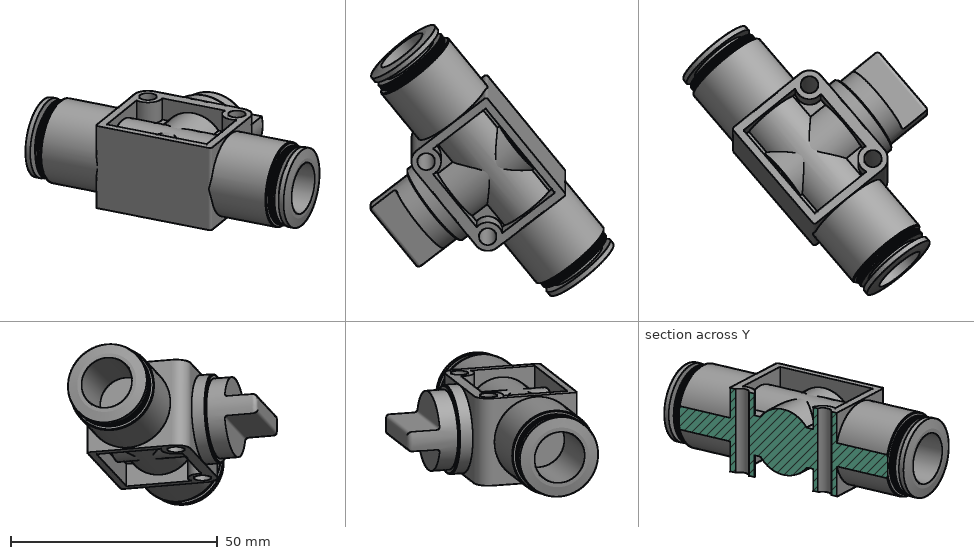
import cadquery as cq

BLOCK_WIDTH = 31.1
BLOCK_HEIGHT = 21.7
BLOCK_TOP_Y = 14.5
CORNER_RADIUS = 3.6
BOTTOM_EDGE_RADIUS = 0.6
SIDE_WALL = 2.1
BOTTOM_WALL = 1.9
TOP_WALL = 2.95
FLOOR_HALF_THICKNESS = 5.2
MOUNT_HOLE_DIAMETER = 4.2

INNER_TUBE_DIAMETER = 17.3
STEM_DIAMETER = 17.05
STEM_BOTTOM_Y = -7.5
STEM_FOOT_DIAMETER = 14.1

HALF_LENGTH = 35.2
SLEEVE_DIAMETER = 21.0
SLEEVE_END_X = 30.35
SLEEVE_CHAMFER = 0.2
COLLAR_DIAMETER = 19.8
COLLAR_THICKNESS = 1.75
COLLAR_BEVEL = 0.4
NECK_DIAMETER = 14.8
RING_DIAMETER = 19.5
RING_GROOVE_DIAMETER = 18.7
RING_THICKNESS = 0.7
RING_CHAMFER = 0.15
RING_START_X = (30.6, 31.55)
BORE_DIAMETER = 12.7
BORE_DEPTH = 16.9

FLANGE_DIAMETER = 21.7
FLANGE_END_Y = 17.95
FLANGE_CHAMFER = 0.3
KNOB_DIAMETER = 19.5
KNOB_SHOULDER_Y = 22.4
HANDLE_END_Y = 30.5
HANDLE_THICKNESS = 4.9
HANDLE_ROOT_RADIUS = 0.8
HANDLE_END_RADIUS = 1.05

BLOCK_BOTTOM_Y = -SLEEVE_DIAMETER / 2
BLOCK_CENTER_Y = (BLOCK_TOP_Y + BLOCK_BOTTOM_Y) / 2
MOUNT_X = BLOCK_WIDTH / 2 - CORNER_RADIUS
MOUNT_Y = BLOCK_TOP_Y - CORNER_RADIUS
MOUNT_POINTS = [(-MOUNT_X, MOUNT_Y), (MOUNT_X, MOUNT_Y)]


def cylinder_x(diameter, start, end):
    return cq.Workplane("YZ", origin=(start, 0, 0)).circle(diameter / 2).extrude(end - start)


def cylinder_y(diameter, start, end):
    return cq.Workplane("XZ", origin=(0, end, 0)).circle(diameter / 2).extrude(end - start)


def make_block():
    """Block with a pocket on each Z face, separated by a central floor."""
    block = (
        cq.Workplane("XY")
        .box(BLOCK_WIDTH, BLOCK_TOP_Y - BLOCK_BOTTOM_Y, BLOCK_HEIGHT)
        .translate((0, BLOCK_CENTER_Y, 0))
    )
    block = block.edges("|Z and >Y").fillet(CORNER_RADIUS)
    block = block.edges("|Z and <Y").fillet(BOTTOM_EDGE_RADIUS)

    pocket_bottom_y = BLOCK_BOTTOM_Y + BOTTOM_WALL
    pocket_top_y = BLOCK_TOP_Y - TOP_WALL
    pocket = (
        cq.Workplane("XY")
        .box(BLOCK_WIDTH - 2 * SIDE_WALL, pocket_top_y - pocket_bottom_y, BLOCK_HEIGHT)
        .translate((0, (pocket_top_y + pocket_bottom_y) / 2, 0))
    )
    floor = cq.Workplane("XY").box(BLOCK_WIDTH, 2 * BLOCK_HEIGHT, 2 * FLOOR_HALF_THICKNESS)
    bosses = (
        cq.Workplane("XY", origin=(0, 0, -BLOCK_HEIGHT / 2))
        .pushPoints(MOUNT_POINTS)
        .circle(CORNER_RADIUS)
        .extrude(BLOCK_HEIGHT)
    )
    return block.cut(pocket.cut(floor).cut(bosses))


def make_chamber():
    """Crossing tube and stem that bulge out of both faces of the floor."""
    tube = cylinder_x(INNER_TUBE_DIAMETER, -BLOCK_WIDTH / 2, BLOCK_WIDTH / 2)
    stem = cylinder_y(STEM_DIAMETER, STEM_BOTTOM_Y, BLOCK_TOP_Y - TOP_WALL / 2)
    foot = cylinder_y(STEM_FOOT_DIAMETER, BLOCK_BOTTOM_Y + BOTTOM_WALL / 2, STEM_BOTTOM_Y)
    return tube.union(stem).union(foot)


def make_connector():
    """Connector on the +X side: sleeve, two rings, neck and release collar."""
    sleeve_start_x = BLOCK_WIDTH / 2 - SIDE_WALL
    sleeve = cylinder_x(SLEEVE_DIAMETER, sleeve_start_x, SLEEVE_END_X)
    sleeve = sleeve.faces(">X").edges().chamfer(SLEEVE_CHAMFER)
    ring_end_x = max(RING_START_X) + RING_THICKNESS
    connector = sleeve.union(cylinder_x(RING_GROOVE_DIAMETER, sleeve_start_x, ring_end_x))
    for start_x in RING_START_X:
        ring = cylinder_x(RING_DIAMETER, start_x, start_x + RING_THICKNESS)
        connector = connector.union(ring.edges().chamfer(RING_CHAMFER))

    collar_start_x = HALF_LENGTH - COLLAR_THICKNESS
    bevel_start_x = HALF_LENGTH - COLLAR_BEVEL
    collar = (
        cq.Workplane("XY")
        .moveTo(collar_start_x, 0)
        .lineTo(collar_start_x, COLLAR_DIAMETER / 2)
        .lineTo(bevel_start_x, COLLAR_DIAMETER / 2)
        .lineTo(HALF_LENGTH, NECK_DIAMETER / 2)
        .lineTo(HALF_LENGTH, 0)
        .close()
        .revolve(360, (0, 0, 0), (1, 0, 0))
    )
    neck = cylinder_x(NECK_DIAMETER, sleeve_start_x, HALF_LENGTH - COLLAR_BEVEL)
    return connector.union(neck).union(collar)


def make_knob():
    """Round flange and knob whose outer part is reduced to a flat handle."""
    flange = cylinder_y(FLANGE_DIAMETER, BLOCK_TOP_Y - TOP_WALL / 2, FLANGE_END_Y)
    flange = flange.faces(">Y").edges().chamfer(FLANGE_CHAMFER)

    knob = cylinder_y(KNOB_DIAMETER, BLOCK_TOP_Y, HANDLE_END_Y)
    half_knob = KNOB_DIAMETER / 2
    half_handle = HANDLE_THICKNESS / 2
    for side in (-1, 1):
        relief = (
            cq.Workplane("YZ", origin=(-KNOB_DIAMETER, 0, 0))
            .moveTo(KNOB_SHOULDER_Y, side * 2 * half_knob)
            .lineTo(KNOB_SHOULDER_Y, side * (half_handle + HANDLE_ROOT_RADIUS))
            .radiusArc(
                (KNOB_SHOULDER_Y + HANDLE_ROOT_RADIUS, side * half_handle),
                -side * HANDLE_ROOT_RADIUS,
            )
            .lineTo(2 * HANDLE_END_Y, side * half_handle)
            .lineTo(2 * HANDLE_END_Y, side * 2 * half_knob)
            .close()
            .extrude(2 * KNOB_DIAMETER)
        )
        knob = knob.cut(relief)
    knob = knob.faces(">Y").edges().fillet(HANDLE_END_RADIUS)
    return flange.union(knob)


def make_bore():
    """Blind tube socket of the +X connector."""
    return cylinder_x(BORE_DIAMETER, HALF_LENGTH - BORE_DEPTH, HALF_LENGTH)


def make_mount_holes():
    return (
        cq.Workplane("XY", origin=(0, 0, -BLOCK_HEIGHT / 2))
        .pushPoints(MOUNT_POINTS)
        .circle(MOUNT_HOLE_DIAMETER / 2)
        .extrude(BLOCK_HEIGHT)
    )


connector = make_connector()
bore = make_bore()
result = make_block().union(make_chamber()).union(make_knob())
result = result.union(connector).union(connector.mirror("YZ"))
result = result.cut(bore).cut(bore.mirror("YZ")).cut(make_mount_holes())